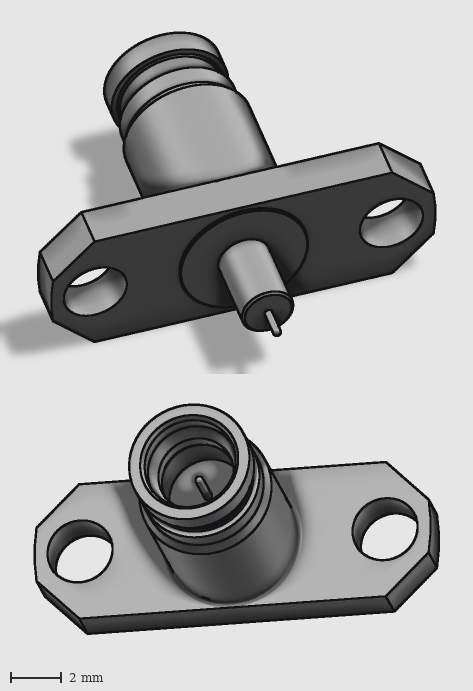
import cadquery as cq
import math

overall_length = 14.77
flange_length = 15.86
flange_height = 5.66

lip_end = 0.97
groove_end = 2.0
collar_end = 2.84
cone_end = 3.24
flange_front = 8.65
flange_back = 10.34
rear_disc_end = 10.44
stub_end = 13.53

lip_radius = 2.41
groove_radius = 2.1
body_radius = 2.65
stub_radius = 1.06
pin_radius = 0.16

root_fillet = 0.2
groove_chamfer = 0.08
rear_disc_chamfer = 0.05
stub_chamfer = 0.1
pin_round = 0.13

mouth_radius = 1.97
throat_radius = 1.82
bore_radius = 1.5
mouth_depth = 0.19
throat_depth = 0.85
taper_depth = 1.36
bore_depth = 2.06
relief_step = 0.05
socket_depth = 3.8
contact_start = 1.9

corner_flat_half = 6.14
hole_radius = 1.3
hole_offset = 6.1


def revolve_about_axis(profile):
    """Turn an (x, radius) profile into a solid about the X axis."""
    return profile.close().revolve(360, (0, 0, 0), (1, 0, 0))


def make_flange():
    """Plate with 45 degree corners and slightly bowed ends, with two mounting holes."""
    end_radius = flange_length / 2
    half_height = flange_height / 2
    corner_sum = corner_flat_half + half_height
    corner_z = (corner_sum - math.sqrt(2 * end_radius**2 - corner_sum**2)) / 2
    corner_y = corner_sum - corner_z
    plate = (
        cq.Workplane("YZ", origin=(flange_front, 0, 0))
        .moveTo(-corner_flat_half, half_height)
        .lineTo(corner_flat_half, half_height)
        .lineTo(corner_y, corner_z)
        .threePointArc((end_radius, 0), (corner_y, -corner_z))
        .lineTo(corner_flat_half, -half_height)
        .lineTo(-corner_flat_half, -half_height)
        .lineTo(-corner_y, -corner_z)
        .threePointArc((-end_radius, 0), (-corner_y, corner_z))
        .close()
        .extrude(flange_back - flange_front)
    )
    holes = (
        cq.Workplane("YZ", origin=(flange_front, 0, 0))
        .pushPoints([(-hole_offset, 0), (hole_offset, 0)])
        .circle(hole_radius)
        .extrude(flange_back - flange_front)
    )
    return plate.cut(holes)


def make_barrel():
    """Stepped barrel, its flared root, the rear disc and the rear stub."""
    fillet_middle = root_fillet * (1 - math.sqrt(0.5))
    barrel = revolve_about_axis(
        cq.Workplane("XY")
        .lineTo(0, lip_radius)
        .lineTo(lip_end, lip_radius)
        .lineTo(lip_end, groove_radius + groove_chamfer)
        .lineTo(lip_end + groove_chamfer, groove_radius)
        .lineTo(groove_end - groove_chamfer, groove_radius)
        .lineTo(groove_end, groove_radius + groove_chamfer)
        .lineTo(groove_end, lip_radius)
        .lineTo(collar_end, lip_radius)
        .lineTo(cone_end, body_radius)
        .lineTo(flange_front - root_fillet, body_radius)
        .threePointArc(
            (flange_front - fillet_middle, body_radius + fillet_middle),
            (flange_front, body_radius + root_fillet),
        )
        .lineTo(flange_front, body_radius)
        .lineTo(rear_disc_end - rear_disc_chamfer, body_radius)
        .lineTo(rear_disc_end, body_radius - rear_disc_chamfer)
        .lineTo(rear_disc_end, stub_radius)
        .lineTo(stub_end - stub_chamfer, stub_radius)
        .lineTo(stub_end, stub_radius - stub_chamfer)
        .lineTo(stub_end, 0)
    )
    trim = cq.Workplane("XY").box(2 * overall_length, flange_length, flange_height)
    return barrel.intersect(trim)


def make_socket():
    """Bore with a lead-in at the mouth and a taper to the inner bore, then a slightly wider chamber."""
    return revolve_about_axis(
        cq.Workplane("XY")
        .lineTo(0, mouth_radius)
        .lineTo(mouth_depth, throat_radius)
        .lineTo(throat_depth, throat_radius)
        .lineTo(taper_depth, bore_radius)
        .lineTo(bore_depth, bore_radius)
        .lineTo(bore_depth + relief_step, bore_radius + relief_step)
        .lineTo(socket_depth, bore_radius + relief_step)
        .lineTo(socket_depth, 0)
    )


def make_pin():
    """Centre contact with rounded ends, running from the socket to the rear."""
    return (
        cq.Workplane("YZ", origin=(contact_start, 0, 0))
        .circle(pin_radius)
        .extrude(overall_length - contact_start)
        .edges()
        .fillet(pin_round)
    )


result = make_barrel().union(make_flange()).cut(make_socket()).union(make_pin())